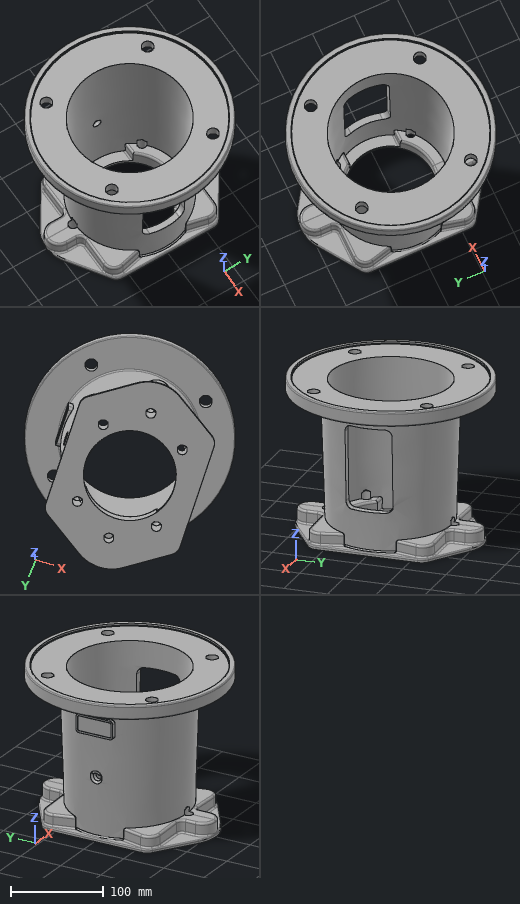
import cadquery as cq
import math

total_height = 181.04

flange_radius = 228.6 / 2
flange_thickness = 15.5
flange_edge_round = 1.2
flange_neck_round = 1.6
register_radius = 107.95
register_depth = 3.0
register_corner_chamfer = 0.8
flange_bolt_circle_radius = 184.15 / 2
flange_hole_diameter = 13.5

body_top_radius = 76.3
body_bottom_radius = 70.6
body_foot_round = 1.5
bore_top_radius = 68.6
bore_bottom_radius = 62.6

plate_thickness = 4.2
plate_half_width = 76.5
plate_half_length = 107.4
plate_shoulder_y = 65.4
plate_nose_radius = 45.0
plate_corner_radius = 13.0
plate_edge_round = 1.3

pad_ridge_height = 20.1
pad_top_slope = 1.5
ear_half_width = 72.0
ear_side_angle = 13.5
pad_half_length = 71.5
ear_corner_radius = 13.5
pad_gap_half_width = 30.0
pad_edge_round = 2.6
pad_foot_round = 2.0
boss_radius = 16.0
boss_tip_y = 106.9
boss_blend_radius = 7.0

pilot_radius = 50.0
mount_hole_radius = 5.35
mount_hole_depth = 25.3
drill_point_angle = 118.0
four_bolt_circle_radius = 127.0 / 2
two_bolt_circle_radius = 146.0 / 2

window_half_width = 27.0
window_bottom_z = 49.5
window_top_z = 147.0
window_corner_radius = 8.0
access_hole_z = 74.7
access_hole_diameter = 9.8
access_countersink_diameter = 15.4
name_plate_width = 45.7
name_plate_bottom_z = 125.0
name_plate_top_z = 147.0
name_plate_corner_radius = 3.5
name_plate_face_x = -77.0
name_plate_frame_width = 2.2
name_plate_recess_depth = 0.5

flange_bottom_z = total_height - flange_thickness
register_floor_z = total_height - register_depth
overlap = 1.0
edge_tolerance = 0.1
roof_normal_limit = 0.9


def body_radius_at(z):
    """Outer radius of the tapered body at height z."""
    return body_bottom_radius + (body_top_radius - body_bottom_radius) * z / flange_bottom_z


def make_body():
    """Tapered tube and flange, revolved about Z, with a concave round at the plate."""
    foot_end_z = plate_thickness + body_foot_round
    foot_end_radius = body_radius_at(foot_end_z)
    foot_start_radius = foot_end_radius + body_foot_round
    arc_reach = body_foot_round * math.sin(math.pi / 4)
    foot_middle_radius = foot_start_radius - arc_reach
    foot_middle_z = foot_end_z - arc_reach
    profile = (
        cq.Workplane("XZ")
        .moveTo(bore_bottom_radius, 0)
        .lineTo(foot_start_radius, 0)
        .lineTo(foot_start_radius, plate_thickness)
        .threePointArc((foot_middle_radius, foot_middle_z), (foot_end_radius, foot_end_z))
        .lineTo(body_top_radius, flange_bottom_z)
        .lineTo(flange_radius, flange_bottom_z)
        .lineTo(flange_radius, total_height)
        .lineTo(register_radius, total_height)
        .lineTo(register_radius, register_floor_z + register_corner_chamfer)
        .lineTo(register_radius - register_corner_chamfer, register_floor_z)
        .lineTo(bore_top_radius, register_floor_z)
        .close()
    )
    body = profile.revolve(360, (0, 0, 0), (0, 1, 0))
    rim = cq.selectors.RadiusNthSelector(-1)
    body = body.edges("%CIRCLE").edges(rim).fillet(flange_edge_round)
    neck = cq.selectors.BoxSelector(
        (-body_top_radius - overlap, -body_top_radius - overlap, flange_bottom_z - overlap),
        (body_top_radius + overlap, body_top_radius + overlap, flange_bottom_z + overlap),
        boundingbox=True,
    )
    return body.edges(neck).fillet(flange_neck_round)


def make_plate():
    """Hexagonal base plate: two straight sides and a rounded nose at each Y end."""
    nose_y = plate_half_length - plate_nose_radius
    dx, dy = plate_half_width, plate_shoulder_y - nose_y
    distance = math.hypot(dx, dy)
    normal_angle = math.atan2(dy, dx) + math.acos(plate_nose_radius / distance)
    tangent_x = plate_nose_radius * math.cos(normal_angle)
    tangent_y = nose_y + plate_nose_radius * math.sin(normal_angle)
    plate = (
        cq.Workplane("XY")
        .moveTo(plate_half_width, -plate_shoulder_y)
        .lineTo(plate_half_width, plate_shoulder_y)
        .lineTo(tangent_x, tangent_y)
        .threePointArc((0, plate_half_length), (-tangent_x, tangent_y))
        .lineTo(-plate_half_width, plate_shoulder_y)
        .lineTo(-plate_half_width, -plate_shoulder_y)
        .lineTo(-tangent_x, -tangent_y)
        .threePointArc((0, -plate_half_length), (tangent_x, -tangent_y))
        .close()
        .extrude(plate_thickness)
    )
    corners = cq.selectors.BoxSelector(
        (-plate_half_width - overlap, -plate_shoulder_y - overlap, 0),
        (plate_half_width + overlap, plate_shoulder_y + overlap, plate_thickness),
    )
    plate = plate.edges("|Z").edges(corners).fillet(plate_corner_radius)
    return plate.faces(">Z").edges().fillet(plate_edge_round)


def ear_block():
    """Prism whose four corners are the rounded ears, narrowing toward its waist at Y = 0."""
    angle = math.radians(ear_side_angle)
    round_centre_x = ear_half_width - ear_corner_radius
    round_centre_y = pad_half_length - ear_corner_radius
    waist_x = round_centre_x + ear_corner_radius / math.cos(angle) - round_centre_y * math.tan(angle)
    corner_x = waist_x + pad_half_length * math.tan(angle)
    return (
        cq.Workplane("XY")
        .moveTo(corner_x, pad_half_length)
        .lineTo(-corner_x, pad_half_length)
        .lineTo(-waist_x, 0)
        .lineTo(-corner_x, -pad_half_length)
        .lineTo(corner_x, -pad_half_length)
        .lineTo(waist_x, 0)
        .close()
        .extrude(pad_ridge_height)
        .edges("|Z")
        .edges("<Y or >Y")
        .fillet(ear_corner_radius)
    )


def pad_roof():
    """Envelope under the pad tops, falling away on both sides of a ridge along Y."""
    drop = plate_half_width * math.tan(math.radians(pad_top_slope))
    return (
        cq.Workplane("XZ")
        .moveTo(-plate_half_width, 0)
        .lineTo(plate_half_width, 0)
        .lineTo(plate_half_width, pad_ridge_height - drop)
        .lineTo(0, pad_ridge_height)
        .lineTo(-plate_half_width, pad_ridge_height - drop)
        .close()
        .extrude(plate_half_length, both=True)
    )


def is_on_ridge(edge):
    """True for an edge that lies in the X = 0 plane."""
    box = edge.BoundingBox()
    return max(abs(box.xmin), abs(box.xmax)) < edge_tolerance


def make_pads():
    """Two pads, one at each Y end: a wide block with two ears and a central boss."""
    bosses = (
        cq.Workplane("XY")
        .slot2D(2 * boss_tip_y, 2 * boss_radius, 90)
        .extrude(pad_ridge_height)
    )
    blends = cq.selectors.BoxSelector(
        (-boss_radius - overlap, -pad_half_length - overlap, 0),
        (boss_radius + overlap, pad_half_length + overlap, pad_ridge_height),
    )
    pads = ear_block().union(bosses).edges("|Z").edges(blends).fillet(boss_blend_radius)
    gap = cq.Workplane("XY").box(4 * ear_half_width, 2 * pad_gap_half_width, 4 * pad_ridge_height)
    pilot = cq.Workplane("XY").circle(pilot_radius).extrude(pad_ridge_height)
    pads = pads.cut(gap).cut(pilot).intersect(pad_roof())
    roof_faces = pads.faces().filter(lambda face: face.normalAt().z > roof_normal_limit)
    rim = roof_faces.edges().filter(lambda edge: not is_on_ridge(edge))
    return rim.fillet(pad_edge_round)


def make_foot():
    """Base plate with the pads blended onto it."""
    foot = make_plate().union(make_pads())
    seam = foot.edges(
        cq.selectors.BoxSelector(
            (-ear_half_width - overlap, -boss_tip_y + boss_radius, plate_thickness - edge_tolerance),
            (ear_half_width + overlap, boss_tip_y - boss_radius, plate_thickness + edge_tolerance),
        )
    )
    foot = seam.fillet(pad_foot_round)
    return foot.cut(cq.Workplane("XY").circle(pilot_radius).extrude(pad_ridge_height))


def mount_hole(x, y):
    """Blind hole drilled upward from the underside, with a conical drill point."""
    point_height = mount_hole_radius / math.tan(math.radians(drill_point_angle / 2))
    return (
        cq.Workplane("XZ")
        .lineTo(mount_hole_radius, 0)
        .lineTo(mount_hole_radius, mount_hole_depth)
        .lineTo(0, mount_hole_depth + point_height)
        .close()
        .revolve(360, (0, 0, 0), (0, 1, 0))
        .translate((x, y, 0))
    )


def mount_holes():
    """Four holes on the diagonals and one in each boss."""
    holes = mount_hole(0, two_bolt_circle_radius).union(mount_hole(0, -two_bolt_circle_radius))
    offset = four_bolt_circle_radius * math.cos(math.pi / 4)
    for x in (-offset, offset):
        for y in (-offset, offset):
            holes = holes.union(mount_hole(x, y))
    return holes


def flange_holes():
    """Four through holes in the flange, on the diagonals."""
    return (
        cq.Workplane("XY", origin=(0, 0, flange_bottom_z - overlap))
        .polarArray(flange_bolt_circle_radius, 45, 360, 4)
        .circle(flange_hole_diameter / 2)
        .extrude(flange_thickness + 2 * overlap)
    )


def side_window():
    """Rounded rectangular opening through the +X wall."""
    middle_z = (window_bottom_z + window_top_z) / 2
    return (
        cq.Workplane("YZ", origin=(0, 0, middle_z))
        .rect(2 * window_half_width, window_top_z - window_bottom_z)
        .extrude(flange_radius)
        .edges("|X")
        .fillet(window_corner_radius)
    )


def access_hole():
    """Countersunk hole through the -X wall."""
    wall_x = body_radius_at(access_hole_z)
    drill = (
        cq.Workplane("YZ", origin=(0, 0, access_hole_z))
        .circle(access_hole_diameter / 2)
        .extrude(-flange_radius)
    )
    countersink_depth = (access_countersink_diameter - access_hole_diameter) / 2
    countersink = cq.Workplane(
        cq.Solid.makeCone(
            access_hole_diameter / 2,
            access_countersink_diameter / 2,
            countersink_depth,
            pnt=cq.Vector(countersink_depth - wall_x, 0, access_hole_z),
            dir=cq.Vector(-1, 0, 0),
        )
    )
    return drill.union(countersink)


def name_plate_block(margin, start_x, length):
    """Rounded block on the -X side, shrunk by margin, running inward from start_x."""
    middle_z = (name_plate_bottom_z + name_plate_top_z) / 2
    return (
        cq.Workplane("YZ", origin=(start_x, 0, middle_z))
        .rect(name_plate_width - 2 * margin, name_plate_top_z - name_plate_bottom_z - 2 * margin)
        .extrude(length)
        .edges("|X")
        .fillet(name_plate_corner_radius - margin)
    )


def make_name_plate():
    """Raised name plate with a shallow framed recess, embedded in the wall."""
    inner_x = -(bore_top_radius + overlap)
    block = name_plate_block(0, name_plate_face_x, inner_x - name_plate_face_x)
    recess = name_plate_block(name_plate_frame_width, name_plate_face_x, name_plate_recess_depth)
    return block.cut(recess)


result = make_body().union(make_foot()).union(make_name_plate())
for cutter in (mount_holes(), flange_holes(), side_window(), access_hole()):
    result = result.cut(cutter)